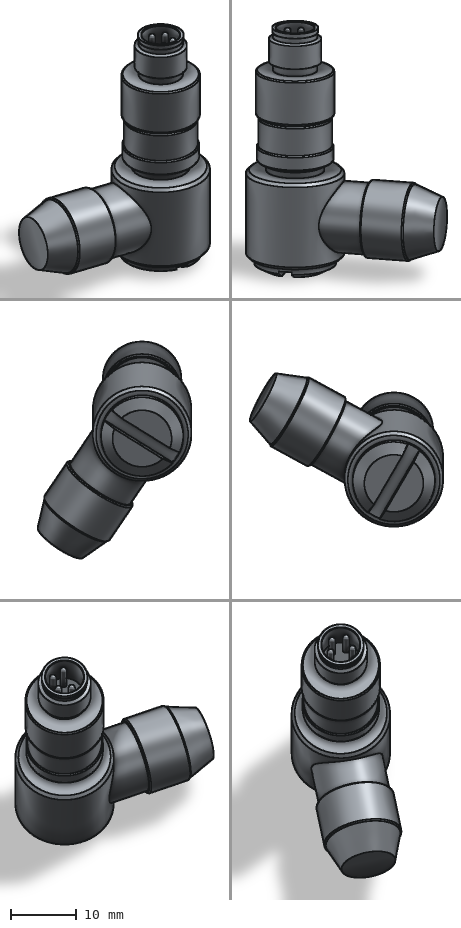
import cadquery as cq


cap_radius = 6.25
cap_face_radius = 4.5
cap_cone_height = 0.95
slot_width = 2.0
slot_depth = 1.35

body_radius = 15.0 / 2
body_bottom = 2.05
body_top = 15.75
body_chamfer = 0.5

body_neck_radius = 4.45
ring_radius = 5.03
ring_bottom = 16.65
ring_edge = 16.97

collar_bottom = 17.25
collar_radius = 11.7 / 2
collar_top = 19.7
sleeve_radius = 5.65
sleeve_top = 24.23
edge_chamfer = 0.23

spindle_radius = 3.15
nut_radius = 6.0
nut_bottom = 24.42
nut_top = 31.65
nut_lower_chamfer = 0.35

tip_radius = 6.8 / 2
thread_radius = 4.0
thread_bottom = 32.75
thread_top = 36.85
lip_radius = 3.5
lip_bottom = 37.67
plug_top = 38.4

bore_radius = 2.9
bore_mouth_chamfer = 0.08
bore_depth = 5.0
chamber_floor = plug_top - bore_depth
pin_radius = 0.5
pin_recess = 0.5
rear_pin_offset = (1.08, 1.45)
front_pin_offset = (1.7, -0.5)

arm_height = 8.85
arm_radius = 11.02 / 2
clamp_start = 11.6
clamp_radius = 6.0
clamp_end = 18.4
arm_cone_radius = 5.8
arm_face_radius = 8.35 / 2
overall_depth = 30.3
arm_length = overall_depth - body_radius

plain_edge = (edge_chamfer, edge_chamfer)


def revolved(outline):
    """Solid of revolution about Z from (radius, height) points, closed along the axis."""
    first_height = outline[0][1]
    last_height = outline[-1][1]
    points = [(0, first_height)] + outline + [(0, last_height)]
    return cq.Workplane("XZ").polyline(points).close().revolve(360, (0, 0), (0, 1))


def barrel(radius, bottom, top, lower=plain_edge, upper=plain_edge):
    """Outline of a cylinder; lower and upper are (width, height) of its edge chamfers."""
    return [
        (radius - lower[0], bottom),
        (radius, bottom + lower[1]),
        (radius, top - upper[1]),
        (radius - upper[0], top),
    ]


def plug_stack():
    body_edge = (body_chamfer, body_chamfer)
    collar_step = (collar_radius - sleeve_radius, edge_chamfer)
    thread_edge = (thread_radius - tip_radius, edge_chamfer)
    outline = [(cap_face_radius, 0), (cap_radius, cap_cone_height), (cap_radius, body_bottom)]
    outline += barrel(body_radius, body_bottom, body_top, body_edge, body_edge)
    outline += [(body_neck_radius, body_top), (body_neck_radius, ring_bottom)]
    outline += [(ring_radius, ring_edge), (ring_radius, collar_bottom)]
    outline += barrel(collar_radius, collar_bottom, collar_top, upper=collar_step)
    outline += [(sleeve_radius, sleeve_top - edge_chamfer), (sleeve_radius - edge_chamfer, sleeve_top)]
    outline += [(spindle_radius, sleeve_top), (spindle_radius, nut_bottom)]
    outline += barrel(nut_radius, nut_bottom, nut_top, lower=(edge_chamfer, nut_lower_chamfer))
    outline += [(tip_radius, nut_top)]
    outline += barrel(thread_radius, thread_bottom, thread_top, thread_edge, thread_edge)
    outline += [(tip_radius, lip_bottom), (lip_radius, lip_bottom), (lip_radius, plug_top)]
    return revolved(outline)


def cable_arm():
    outline = [(arm_radius, 0), (arm_radius, clamp_start)]
    outline += barrel(clamp_radius, clamp_start, clamp_end)
    outline += [(arm_cone_radius, clamp_end), (arm_face_radius, arm_length)]
    arm = revolved(outline).rotate((0, 0, 0), (1, 0, 0), 90)
    return arm.translate((0, 0, arm_height))


def cap_slot():
    return cq.Workplane("XY").box(2 * body_radius, slot_width, slot_depth, centered=(True, True, False))


def contact_chamber():
    mouth_radius = bore_radius + bore_mouth_chamfer
    mouth_edge = plug_top - bore_mouth_chamfer
    return revolved([(bore_radius, chamber_floor), (bore_radius, mouth_edge), (mouth_radius, plug_top)])


def contact_pin(x, y):
    """Pin with a hemispherical tip."""
    dome_center = plug_top - pin_recess - pin_radius
    shank = cq.Workplane("XY").workplane(offset=chamber_floor).circle(pin_radius)
    shank = shank.extrude(dome_center - chamber_floor)
    dome = cq.Workplane("XY").sphere(pin_radius).translate((0, 0, dome_center))
    return shank.union(dome).translate((x, y, 0))


result = plug_stack().union(cable_arm()).cut(cap_slot()).cut(contact_chamber())
for offset_x, offset_y in (rear_pin_offset, front_pin_offset):
    for side in (-1, 1):
        result = result.union(contact_pin(side * offset_x, offset_y))